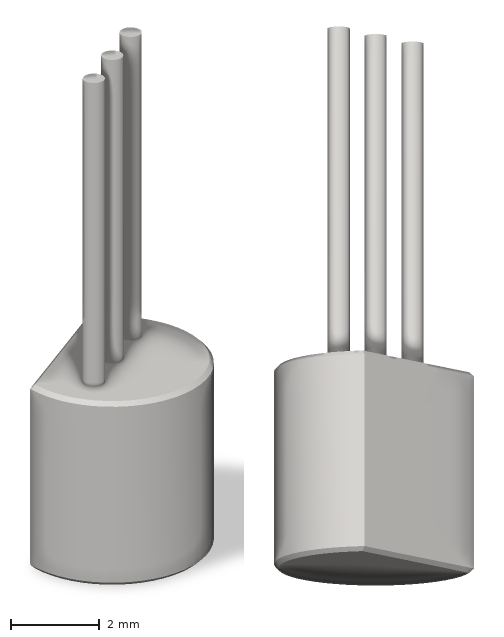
import cadquery as cq

body_radius = 2.29
body_height = 4.6
flat_distance = 1.3
edge_chamfer = 0.1

total_height = 12.2
lead_diameter = 0.5
lead_pitch = 1.27
lead_count = 3


def make_body():
    cylinder = cq.Workplane("XY").circle(body_radius).extrude(body_height)
    kept_side = cq.Workplane("XY").box(
        flat_distance + body_radius,
        2 * body_radius,
        body_height,
        centered=(False, True, False),
    ).translate((-flat_distance, 0, 0))
    return cylinder.intersect(kept_side).faces("<Z or >Z").chamfer(edge_chamfer)


def make_leads():
    return (
        cq.Workplane("XY", origin=(0, 0, body_height))
        .rarray(0.12, lead_pitch, 1, lead_count)
        .circle(lead_diameter / 2)
        .extrude(total_height - body_height)
    )


result = make_body().union(make_leads())